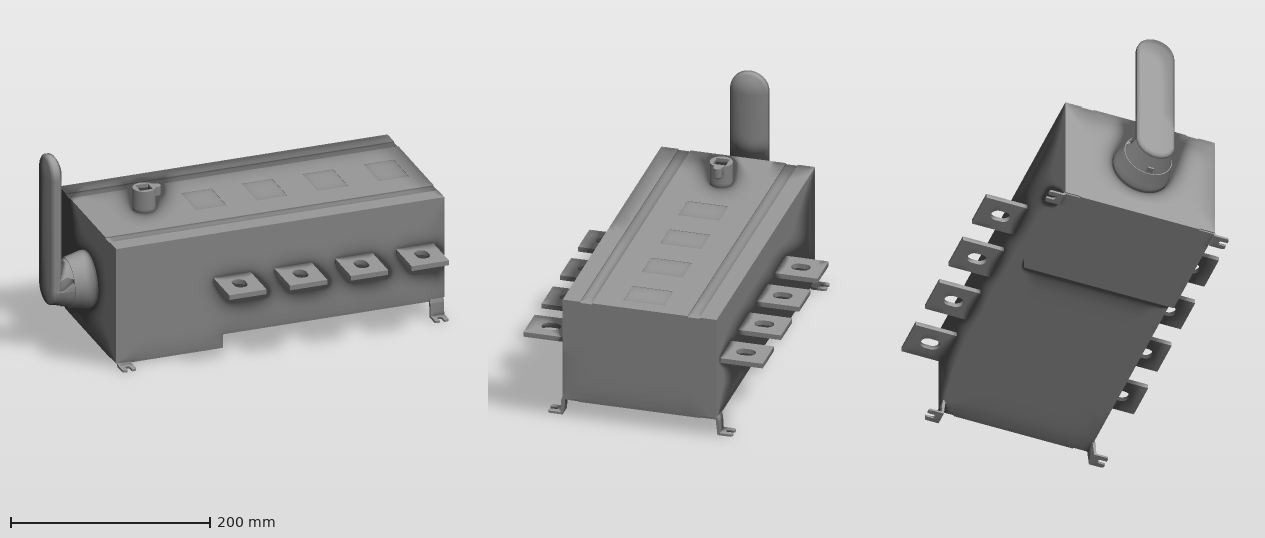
import cadquery as cq
import math


BODY_WIDTH = 161.0
BODY_LENGTH = 352.0
BODY_TOP = 130.0
FRONT_BOTTOM = 2.5
REAR_BOTTOM = 17.0
FRONT_SECTION_LENGTH = 114.5
GROOVE_WIDTH = 12.5
GROOVE_DEPTH = 1.0
GROOVE_EDGE_MARGIN = 18.0

POLE_COUNT = 4
POLE_PITCH = 65.0
FIRST_POLE_FROM_REAR = 32.0
TERMINAL_SPAN = 250.0
TERMINAL_WIDTH = 40.0
TERMINAL_THICKNESS = 5.0
TERMINAL_BOTTOM = 76.0
SLOT_LENGTH = 20.0
SLOT_WIDTH = 14.0
SLOT_CENTER_FROM_TIP = 23.0
WINDOW_WIDTH = 43.0
WINDOW_LENGTH = 33.0
WINDOW_DEPTH = 0.5

POST_DIAMETER = 23.0
POST_HEIGHT = 24.0
POST_FROM_FRONT = 60.5
KEY_SOCKET = 13.5
KEY_TAB_WIDTH = 9.0
KEY_TAB_REACH = 17.5
KEY_TAB_HEIGHT = 9.5

FOOT_SPAN = 193.0
FOOT_WIDTH = 15.0
FOOT_THICKNESS = 2.5
FOOT_END_GAP = 1.0
FOOT_CORNER_RADIUS = 2.5
FOOT_SLOT_WIDTH = 5.0
FOOT_SLOT_DEPTH = 9.0
FOOT_TAB_INSET = 16.5
FOOT_LEG_TOP_REACH = 1.0
FOOT_LEG_SHOULDER_REACH = 2.0
FOOT_LEG_SHOULDER_DROP = 3.5
FOOT_LEG_BOTTOM_REACH = 3.0
FRONT_TAB_THICKNESS = 1.0
REAR_TAB_THICKNESS = 2.5

KNOB_CENTER_Z = 62.5
KNOB_RADIUS = 30.0
KNOB_COLLAR_DEPTH = 3.5
KNOB_STEP_DEPTH = 23.0
KNOB_STEP_RADIUS = 25.5
KNOB_STEP = 1.0
KNOB_TIP_RADIUS = 19.0
KNOB_TIP_DEPTH = 44.0
RIB_WIDTH = 6.5
RIB_HALF_HEIGHT = 24.5

RELIEF_HALF_GAP = 18.5
RELIEF_TOP = 15.0
RELIEF_NOSE_TOP = 12.5
RELIEF_NOSE_BOTTOM = 8.0
RELIEF_LEDGE_DEPTH = 33.0

HANDLE_RADIUS = 20.0
HANDLE_TOP = 206.0
HANDLE_BACK_DEPTH = 30.0
HANDLE_SIDE_BACK_DEPTH = 39.5
HANDLE_SIDE_FRONT_DEPTH = 43.0
HANDLE_FRONT_DEPTH = 48.0
HANDLE_BACK_EDGE = (18.5, 36.5)
HANDLE_BACK_CORNER = (19.5, 38.0)
HANDLE_FRONT_CORNER = (19.0, 45.0)
HANDLE_FRONT_EDGE = (16.0, 46.0)

SIDES = (-1, 1)
HALF_WIDTH = BODY_WIDTH / 2


def box(x_range, y_range, z_range):
    """Box from the low and high limits on each axis."""
    sizes = [high - low for low, high in (x_range, y_range, z_range)]
    corner = (x_range[0], y_range[0], z_range[0])
    return cq.Workplane("XY").box(*sizes, centered=False).translate(corner)


def mirrored(shape):
    """The shape together with its mirror image across the X = 0 plane."""
    return shape.union(shape.mirror("YZ"))


def pole_positions():
    first = BODY_LENGTH - FIRST_POLE_FROM_REAR
    return [first - index * POLE_PITCH for index in range(POLE_COUNT)]


def housing():
    body = box((-HALF_WIDTH, HALF_WIDTH), (0, BODY_LENGTH), (FRONT_BOTTOM, BODY_TOP))
    body = body.cut(
        box((-HALF_WIDTH, HALF_WIDTH), (FRONT_SECTION_LENGTH, BODY_LENGTH), (FRONT_BOTTOM, REAR_BOTTOM))
    )
    groove_start = -HALF_WIDTH + GROOVE_EDGE_MARGIN
    groove = box(
        (groove_start, groove_start + GROOVE_WIDTH),
        (0, BODY_LENGTH),
        (BODY_TOP - GROOVE_DEPTH, BODY_TOP),
    )
    windows = (
        cq.Workplane("XY", origin=(0, 0, BODY_TOP))
        .pushPoints([(0, y) for y in pole_positions()])
        .rect(WINDOW_WIDTH, WINDOW_LENGTH)
        .extrude(-WINDOW_DEPTH)
    )
    return body.cut(mirrored(groove)).cut(windows)


def terminals():
    """Flat bars on both sides of every pole, each with a bolt slot."""
    length = TERMINAL_SPAN / 2 - HALF_WIDTH
    slot_x = TERMINAL_SPAN / 2 - SLOT_CENTER_FROM_TIP
    plane = cq.Workplane("XY", origin=(0, 0, TERMINAL_BOTTOM))
    bar_centers = [(side * (HALF_WIDTH + length / 2), y) for side in SIDES for y in pole_positions()]
    slot_centers = [(side * slot_x, y) for side in SIDES for y in pole_positions()]
    bars = plane.pushPoints(bar_centers).rect(length, TERMINAL_WIDTH).extrude(TERMINAL_THICKNESS)
    slots = plane.pushPoints(slot_centers).slot2D(SLOT_LENGTH, SLOT_WIDTH).extrude(TERMINAL_THICKNESS)
    return bars.cut(slots)


def key_post():
    """Round post with a square socket and a round-ended tab at its upper end."""
    tab_radius = KEY_TAB_WIDTH / 2
    tab_end = KEY_TAB_REACH - tab_radius
    tab_plane = cq.Workplane("XY", origin=(0, 0, POST_HEIGHT - KEY_TAB_HEIGHT))
    tab = tab_plane.center(0, tab_end / 2).rect(KEY_TAB_WIDTH, tab_end).extrude(KEY_TAB_HEIGHT)
    tab_tip = tab_plane.center(0, tab_end).circle(tab_radius).extrude(KEY_TAB_HEIGHT)
    post = cq.Workplane("XY").circle(POST_DIAMETER / 2).extrude(POST_HEIGHT).union(tab).union(tab_tip)
    socket = cq.Workplane("XY").rect(KEY_SOCKET, KEY_SOCKET).extrude(POST_HEIGHT)
    return post.cut(socket).translate((0, POST_FROM_FRONT, BODY_TOP))


def foot_pair(y_low, seat, tab_thickness):
    """Bent feet on both sides: slotted plate, leg up to the seat, and tab let into the housing."""
    y_range = (y_low, y_low + FOOT_WIDTH)
    y_mid = y_low + FOOT_WIDTH / 2
    tip = FOOT_SPAN / 2
    tab_top = seat + tab_thickness
    top_reach = HALF_WIDTH + FOOT_LEG_TOP_REACH
    shoulder_reach = HALF_WIDTH + FOOT_LEG_SHOULDER_REACH
    shoulder_z = max(FOOT_THICKNESS, tab_top - FOOT_LEG_SHOULDER_DROP)
    bottom_reach = HALF_WIDTH + FOOT_LEG_BOTTOM_REACH

    plate = box((bottom_reach - FOOT_THICKNESS, tip), y_range, (0, FOOT_THICKNESS))
    plate = plate.edges("|Z and >X").fillet(FOOT_CORNER_RADIUS)
    slot_radius = FOOT_SLOT_WIDTH / 2
    slot_end = tip - FOOT_SLOT_DEPTH + slot_radius
    slot = box((slot_end, tip), (y_mid - slot_radius, y_mid + slot_radius), (0, FOOT_THICKNESS))
    slot_round = cq.Workplane("XY", origin=(slot_end, y_mid, 0)).circle(slot_radius).extrude(FOOT_THICKNESS)

    leg = (
        cq.Workplane("XZ", origin=(0, y_range[1], 0))
        .moveTo(bottom_reach, 0)
        .lineTo(bottom_reach, FOOT_THICKNESS)
        .lineTo(shoulder_reach, shoulder_z)
        .lineTo(top_reach, tab_top)
        .lineTo(top_reach - FOOT_THICKNESS, tab_top)
        .lineTo(bottom_reach - FOOT_THICKNESS, 0)
        .close()
        .extrude(FOOT_WIDTH)
    )
    tab = box((HALF_WIDTH - FOOT_TAB_INSET, top_reach), y_range, (seat, tab_top))
    return mirrored(plate.cut(slot).cut(slot_round).union(leg).union(tab))


def foot_notches(y_range, seat, tab_thickness):
    """Shallow notches under both sides of the housing that receive the foot tabs."""
    notch = box((HALF_WIDTH - FOOT_TAB_INSET, HALF_WIDTH), y_range, (seat, seat + tab_thickness))
    return mirrored(notch)


def knob():
    """Stepped cone with a locating rib and a finger relief on each side of the handle."""
    lower_radius = KNOB_STEP_RADIUS - KNOB_STEP
    cone = (
        cq.Workplane("XY")
        .moveTo(0, 0)
        .lineTo(KNOB_RADIUS, 0)
        .lineTo(KNOB_RADIUS, -KNOB_COLLAR_DEPTH)
        .lineTo(KNOB_STEP_RADIUS, -KNOB_STEP_DEPTH)
        .lineTo(lower_radius, -KNOB_STEP_DEPTH)
        .lineTo(KNOB_TIP_RADIUS, -KNOB_TIP_DEPTH)
        .lineTo(0, -KNOB_TIP_DEPTH)
        .close()
        .revolve(360, (0, 0, 0), (0, 1, 0))
    )
    rib = box(
        (-RIB_WIDTH / 2, RIB_WIDTH / 2),
        (-HANDLE_BACK_DEPTH, -KNOB_STEP_DEPTH),
        (-RIB_HALF_HEIGHT, RIB_HALF_HEIGHT),
    )
    relief = (
        cq.Workplane("YZ", origin=(RELIEF_HALF_GAP, 0, 0))
        .moveTo(-KNOB_STEP_DEPTH, RELIEF_NOSE_BOTTOM)
        .lineTo(-KNOB_STEP_DEPTH, RELIEF_NOSE_TOP)
        .lineTo(-RELIEF_LEDGE_DEPTH, RELIEF_TOP)
        .lineTo(-HANDLE_FRONT_DEPTH, RELIEF_TOP)
        .lineTo(-HANDLE_FRONT_DEPTH, 0)
        .lineTo(-RELIEF_LEDGE_DEPTH, 0)
        .close()
        .extrude(KNOB_RADIUS - RELIEF_HALF_GAP)
    )
    return cone.cut(mirrored(relief)).union(rib).translate((0, 0, KNOB_CENTER_Z))


def handle_half_section():
    """Right half of the handle section in the XY plane, closed along the Y axis."""

    def point(half_width, depth):
        return (half_width, -depth)

    def crown_middle(crown_depth, edge):
        """Midway point of an arc from the crown on the Y axis, where it runs along X, to the edge."""
        edge_width, edge_depth = edge
        rise = edge_depth - crown_depth
        radius = (edge_width**2 + rise**2) / (2 * rise)
        half_width = edge_width / 2
        sign = math.copysign(1, radius)
        depth = crown_depth + radius - sign * math.sqrt(radius**2 - half_width**2)
        return (half_width, depth)

    return (
        cq.Workplane("XY")
        .moveTo(*point(0, HANDLE_BACK_DEPTH))
        .threePointArc(
            point(*crown_middle(HANDLE_BACK_DEPTH, HANDLE_BACK_EDGE)),
            point(*HANDLE_BACK_EDGE),
        )
        .threePointArc(point(*HANDLE_BACK_CORNER), point(HANDLE_RADIUS, HANDLE_SIDE_BACK_DEPTH))
        .lineTo(*point(HANDLE_RADIUS, HANDLE_SIDE_FRONT_DEPTH))
        .threePointArc(point(*HANDLE_FRONT_CORNER), point(*HANDLE_FRONT_EDGE))
        .threePointArc(
            point(*crown_middle(HANDLE_FRONT_DEPTH, HANDLE_FRONT_EDGE)),
            point(0, HANDLE_FRONT_DEPTH),
        )
        .close()
    )


def handle():
    """Upright grip whose two ends are its half section turned about the Y axis."""
    grip_length = HANDLE_TOP - HANDLE_RADIUS - KNOB_CENTER_Z
    grip = mirrored(handle_half_section().extrude(grip_length))
    round_end = handle_half_section().revolve(360, (0, 0, 0), (0, 1, 0))
    whole = grip.union(round_end).union(round_end.translate((0, 0, grip_length)))
    return whole.translate((0, 0, KNOB_CENTER_Z))


front_foot_start = FOOT_END_GAP
rear_foot_start = BODY_LENGTH - FOOT_END_GAP - FOOT_WIDTH

result = (
    housing()
    .cut(foot_notches((0, front_foot_start + FOOT_WIDTH), FRONT_BOTTOM, FRONT_TAB_THICKNESS))
    .cut(foot_notches((rear_foot_start, BODY_LENGTH), REAR_BOTTOM, REAR_TAB_THICKNESS))
    .union(foot_pair(front_foot_start, FRONT_BOTTOM, FRONT_TAB_THICKNESS))
    .union(foot_pair(rear_foot_start, REAR_BOTTOM, REAR_TAB_THICKNESS))
    .union(terminals())
    .union(key_post())
    .union(knob())
    .union(handle())
)